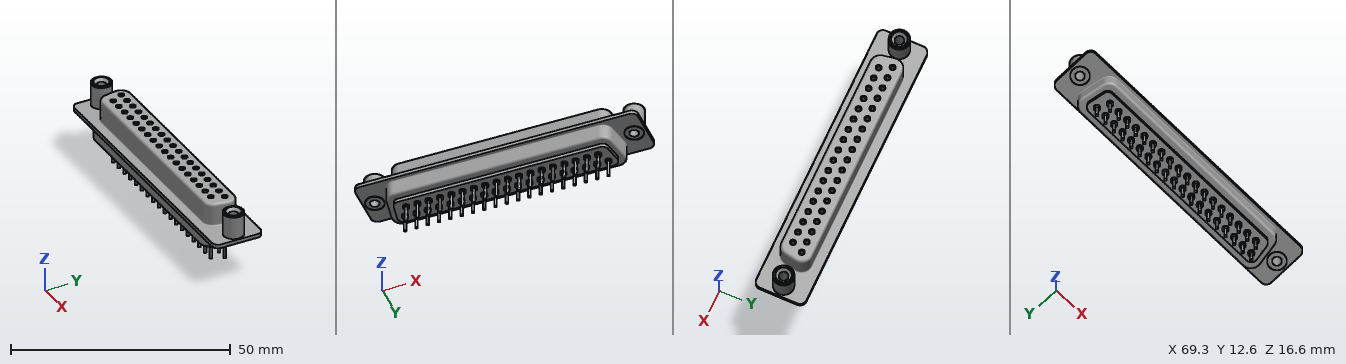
import cadquery as cq
import math


FLANGE_LENGTH = 69.32
FLANGE_WIDTH = 12.55
FLANGE_THICKNESS = 1.0
FLANGE_CORNER_RADIUS = 1.6

SIDE_ANGLE = math.radians(10)

SHELL_HALF_LENGTH = 27.22
SHELL_WIDTH = 7.8
SHELL_CORNER_RADIUS = 2.5
SHELL_HEIGHT = 5.75
SHELL_TOP_FILLET = 0.7
SHELL_BASE_FILLET = 0.3

REAR_HALF_LENGTH = 28.25
REAR_WIDTH = 10.6
REAR_CORNER_RADIUS = 2.55
REAR_HEIGHT = 4.0
REAR_BOTTOM_FILLET = 0.6
REAR_BASE_FILLET = 0.2

INSERT_HALF_LENGTH = 26.68
INSERT_WIDTH = 6.9
INSERT_CORNER_RADIUS = 1.5
INSERT_HEIGHT = 1.0

PITCH = 2.77
ROW_SPACING = 2.84
UPPER_ROW_COUNT = 19
LOWER_ROW_COUNT = 18
PIN_DIAMETER = 0.65
COLLAR_DIAMETER = 1.5
COLLAR_HEIGHT = 0.4
SOCKET_DIAMETER = 0.9
SOCKET_MOUTH_DIAMETER = 1.4
SOCKET_DEPTH = 4.0

POST_SPACING = 63.6
POST_DIAMETER = 5.0
POST_HEIGHT = 5.95
POST_CHAMFER = 0.25
POST_FOOT_DIAMETER = 4.5
POST_FOOT_HEIGHT = 0.2
POST_BORE_DIAMETER = 2.2
POST_MOUTH_DIAMETER = 3.7

OVERALL_HEIGHT = 16.6

SELECT_MARGIN = 0.01

flange_bottom = -FLANGE_THICKNESS
rear_bottom = flange_bottom - REAR_HEIGHT
insert_bottom = rear_bottom - INSERT_HEIGHT
collar_bottom = insert_bottom - COLLAR_HEIGHT
pin_bottom = POST_HEIGHT - OVERALL_HEIGHT


def d_prism(half_length, width, corner_radius, bottom, height):
    """Upright prism with a rounded D outline, longer along its +Y edge."""
    lean = math.tan(SIDE_ANGLE) * width / 2
    upper = half_length + lean
    lower = half_length - lean
    outline = [(-upper, width / 2), (upper, width / 2), (lower, -width / 2), (-lower, -width / 2)]
    prism = cq.Workplane("XY").workplane(offset=bottom).polyline(outline).close().extrude(height)
    return prism.edges("|Z").fillet(corner_radius)


def cylinders(points, diameter, bottom, top):
    """Upright cylinders between two levels, one at each point."""
    plane = cq.Workplane("XY").workplane(offset=bottom)
    return plane.pushPoints(points).circle(diameter / 2).extrude(top - bottom)


def mouths(points, mouth_diameter, bore_diameter, top):
    """45 degree cones that widen a bore up to its mouth at the given level."""
    depth = (mouth_diameter - bore_diameter) / 2
    cone = cq.Solid.makeCone(bore_diameter / 2, mouth_diameter / 2, depth)
    plane = cq.Workplane("XY").workplane(offset=top - depth)
    return plane.pushPoints(points).eachpoint(lambda place: cone.moved(place))


def base_edges(half_length, width, level):
    """Selector for the foot of a D prism where it meets the flange at the given level."""
    reach = half_length + width * math.tan(SIDE_ANGLE)
    return cq.selectors.BoxSelector(
        (-reach, -width / 2 - SELECT_MARGIN, level - SELECT_MARGIN),
        (reach, width / 2 + SELECT_MARGIN, level + SELECT_MARGIN),
        boundingbox=True,
    )


def contact_row(count, y):
    """Evenly spaced contact positions centred on X = 0."""
    first = -(count - 1) * PITCH / 2
    return [(first + index * PITCH, y) for index in range(count)]


def make_housing():
    """Flange with the mating shell above it and the rear shell below it."""
    flange = cq.Workplane("XY").workplane(offset=flange_bottom).rect(FLANGE_LENGTH, FLANGE_WIDTH)
    flange = flange.extrude(FLANGE_THICKNESS).edges("|Z").fillet(FLANGE_CORNER_RADIUS)

    shell = d_prism(SHELL_HALF_LENGTH, SHELL_WIDTH, SHELL_CORNER_RADIUS, 0, SHELL_HEIGHT)
    shell = shell.faces(">Z").edges().fillet(SHELL_TOP_FILLET)

    rear = d_prism(REAR_HALF_LENGTH, REAR_WIDTH, REAR_CORNER_RADIUS, rear_bottom, REAR_HEIGHT)
    rear = rear.faces("<Z").edges().fillet(REAR_BOTTOM_FILLET)

    housing = flange.union(shell).union(rear)
    shell_base = base_edges(SHELL_HALF_LENGTH, SHELL_WIDTH, 0)
    rear_base = base_edges(REAR_HALF_LENGTH, REAR_WIDTH, flange_bottom)
    housing = housing.edges(shell_base).fillet(SHELL_BASE_FILLET)
    return housing.edges(rear_base).fillet(REAR_BASE_FILLET)


def add_contacts(body):
    """Collared solder pins below the insulator and countersunk sockets in the mating face."""
    upper_row = contact_row(UPPER_ROW_COUNT, ROW_SPACING / 2)
    lower_row = contact_row(LOWER_ROW_COUNT, -ROW_SPACING / 2)
    contacts = upper_row + lower_row
    body = body.union(cylinders(contacts, COLLAR_DIAMETER, collar_bottom, insert_bottom))
    body = body.union(cylinders(contacts, PIN_DIAMETER, pin_bottom, collar_bottom))
    body = body.cut(cylinders(contacts, SOCKET_DIAMETER, SHELL_HEIGHT - SOCKET_DEPTH, SHELL_HEIGHT))
    return body.cut(mouths(contacts, SOCKET_MOUTH_DIAMETER, SOCKET_DIAMETER, SHELL_HEIGHT))


def add_posts(body):
    """Jack posts on the flange ends, bored through with a countersunk mouth and a foot underneath."""
    centres = [(-POST_SPACING / 2, 0), (POST_SPACING / 2, 0)]
    foot_bottom = flange_bottom - POST_FOOT_HEIGHT
    posts = cylinders(centres, POST_DIAMETER, 0, POST_HEIGHT)
    posts = posts.faces(">Z").edges().chamfer(POST_CHAMFER)
    body = body.union(posts)
    body = body.union(cylinders(centres, POST_FOOT_DIAMETER, foot_bottom, flange_bottom))
    body = body.cut(cylinders(centres, POST_BORE_DIAMETER, foot_bottom, POST_HEIGHT))
    return body.cut(mouths(centres, POST_MOUTH_DIAMETER, POST_BORE_DIAMETER, POST_HEIGHT))


insulator = d_prism(INSERT_HALF_LENGTH, INSERT_WIDTH, INSERT_CORNER_RADIUS, insert_bottom, INSERT_HEIGHT)
result = add_posts(add_contacts(make_housing().union(insulator)))